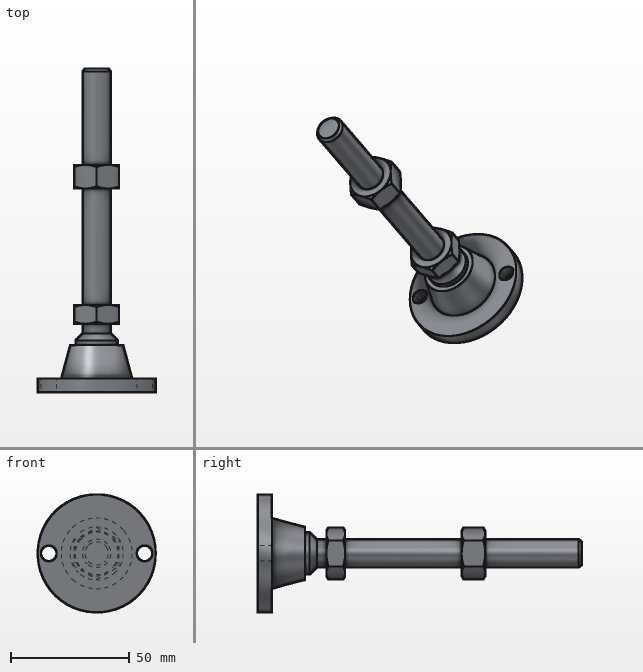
import cadquery as cq
import math

total_length = 137.0

base_diameter = 50.0
base_thickness = 6.0
mount_hole_diameter = 6.5
mount_hole_spacing = 40.5

socket_height = 14.0
socket_bottom_diameter = 30.0
socket_half_angle = 15.0

collar_diameter = 18.0
collar_height = 2.0

stem_diameter = 12.0
stem_end_diameter = 9.8
stem_end_chamfer_height = 1.3

hexagon_sides = 6
nut_across_flats = 19.0
nut_chamfer_angle = 30.0
lower_nut_start = 29.0
lower_nut_height = 8.0
upper_nut_start = 86.2
upper_nut_height = 10.0
nut_corner_turn = 180 / hexagon_sides

socket_top = base_thickness + socket_height
socket_bottom_radius = socket_bottom_diameter / 2
socket_top_radius = socket_bottom_radius - socket_height * math.tan(math.radians(socket_half_angle))
collar_radius = collar_diameter / 2
stem_radius = stem_diameter / 2
collar_top = socket_top + collar_height
shoulder_top = collar_top + collar_radius - stem_radius


def revolve_profile(points):
    """Turn a closed (radius, Y) outline about the Y axis."""
    return cq.Workplane("XY").polyline(points).close().revolve(360, (0, 0), (0, 1))


def make_turned_body():
    """Base plate, socket, collar and stem as one turned solid."""
    return revolve_profile([
        (0, 0),
        (base_diameter / 2, 0),
        (base_diameter / 2, base_thickness),
        (socket_bottom_radius, base_thickness),
        (socket_top_radius, socket_top),
        (collar_radius, socket_top),
        (collar_radius, collar_top),
        (stem_radius, shoulder_top),
        (stem_radius, total_length - stem_end_chamfer_height),
        (stem_end_diameter / 2, total_length),
        (0, total_length),
    ])


def make_nut(start, height):
    """Hexagon nut whose corners are chamfered conically at both ends."""
    end = start + height
    flat_radius = nut_across_flats / 2
    corner_radius = flat_radius / math.cos(math.pi / hexagon_sides)
    chamfer_height = (corner_radius - flat_radius) * math.tan(math.radians(nut_chamfer_angle))
    hexagon = (
        cq.Workplane("XZ", origin=(0, start, 0))
        .polygon(hexagon_sides, 2 * corner_radius)
        .extrude(-height)
        .rotate((0, 0, 0), (0, 1, 0), nut_corner_turn)
    )
    chamfer_envelope = revolve_profile([
        (0, start),
        (flat_radius, start),
        (corner_radius, start + chamfer_height),
        (corner_radius, end - chamfer_height),
        (flat_radius, end),
        (0, end),
    ])
    return hexagon.intersect(chamfer_envelope)


def make_mount_holes():
    """Cutters for the two holes through the base plate, side by side along X."""
    half_spacing = mount_hole_spacing / 2
    return (
        cq.Workplane("XZ")
        .pushPoints([(-half_spacing, 0), (half_spacing, 0)])
        .circle(mount_hole_diameter / 2)
        .extrude(-base_thickness)
    )


result = (
    make_turned_body()
    .union(make_nut(lower_nut_start, lower_nut_height))
    .union(make_nut(upper_nut_start, upper_nut_height))
    .cut(make_mount_holes())
)